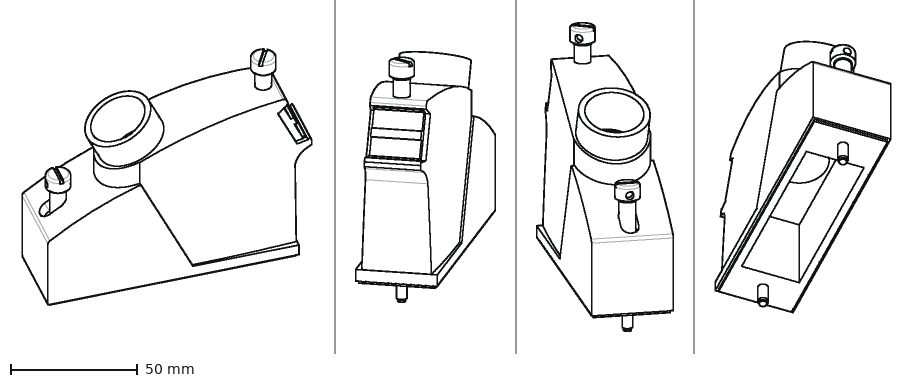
import cadquery as cq
import math

TILT = 25.3
COS_TILT = math.cos(math.radians(TILT))
SIN_TILT = math.sin(math.radians(TILT))
TAN_TILT = math.tan(math.radians(TILT))
TALL = 222.0

BASE_WIDTH = 33.0
BASE_LENGTH = 104.0
BASE_THICKNESS = 4.8
FRONT_HEIGHT = 31.1
FRONT_ROUNDING = 1.8
SHOULDER_FOOT_Y = 60.0
SHOULDER_TOP_Z = 50.5
SHOULDER_TOP_Y = SHOULDER_FOOT_Y - (SHOULDER_TOP_Z - BASE_THICKNESS) * TAN_TILT
SHOULDER_ROUNDING = 1.1
FRONT_CREST = (20.6, 43.3)
GASKET_INSET = 1.0
GASKET_DEPTH = 1.1

HOOD_WIDTH = 31.1
HOOD_BACK_Y = 103.7
HOOD_FRONT_Y = 38.3
HOOD_TOP = (99.0, 74.8)
HOOD_CREST = (70.8, 71.8)
NECK_FRONT = (25.1, 54.0)
NECK_RADIUS = HOOD_WIDTH / 2
NECK_Y = NECK_FRONT[0] + NECK_RADIUS
TAPER_START = 56.6
TAPER_END = 127.6
TAPER_RADIUS = 521.7

GRIP_ARC_START = (HOOD_BACK_Y, 42.1)
GRIP_ARC_MIDDLE = (105.0, 45.3)
GRIP_ARC_END = (107.5, 47.8)
NOSE_BOTTOM = (111.0, 49.6)
NOSE_TOP = (111.0, 51.6)
NOSE_CREST = (110.2, 53.2)
NOSE_STEP = (109.3, 52.4)
LIP_TIP = (101.2, 71.9)
LIP_BACK = (100.9, 73.1)
LIP_ROUND = (100.2, 74.3)
GRIP_TOP = (96.7, 68.6)
GRIP_LENGTH = 18.6
GRIP_BOTTOM = (GRIP_TOP[0] + GRIP_LENGTH * SIN_TILT, GRIP_TOP[1] - GRIP_LENGTH * COS_TILT)
PAD_WIDTH = 20.2
PAD_THICKNESS = 3.1
PAD_OVERLAP = 0.8
RIB_HEIGHT = 1.2
MIDDLE_RIB = (7.5, 11.1)

ENTRY_TOP = (0, 34.3, 72.3)
ENTRY_RADIUS = 14.2
ENTRY_LENGTH = 24.4
BORE_RADIUS = 11.7
BORE_DEPTH = 19.8
INNER_BORE_RADIUS = 10.8
INNER_BORE_DEPTH = 52.2

CAVITY_FRONT_Y = 17.8
CAVITY_BACK_Y = 86.6
CAVITY_WIDTH = 24.4
CAVITY_HEIGHT = 31.1

FRONT_SCREW_Y = 9.5
BACK_SCREW_Y = 94.6
FRONT_SCREW_TOP = 51.0
BACK_SCREW_TOP = 89.2
BACK_SCREW_TURN = -30.0
SCREW_END = -10.0
HEAD_RADIUS = 5.0
HEAD_HEIGHT = 6.0
HEAD_ROUNDING = 1.0
HEAD_CONE = 0.7
COLLAR_RADIUS = 3.7
COLLAR_HEIGHT = 0.4
SHANK_RADIUS = 3.3
PIN_RADIUS = 2.1
TIP_RADIUS = 1.5
TIP_LENGTH = 0.8
PIN_CONE = 0.5
SLOT_WIDTH = 1.4
SLOT_DEPTH = 1.4
CROSS_HOLE_RADIUS = 1.5
CROSS_HOLE_DROP = 3.8
CROSS_HOLE_DEPTH = 2.8

RECESS_WIDTH = 7.2
RECESS_LENGTH = 12.2
RECESS_Y = 9.4
RECESS_FLOOR_Z = 31.2
RECESS_CUT = 16.6


def side_profile():
    """Sketch on the middle plane of the part, with Y across and Z up."""
    return cq.Workplane("YZ")


def tilted_plane(origin):
    """Plane square to the cable entry, its x direction climbing towards the back."""
    return cq.Plane(origin, xDir=(0, COS_TILT, SIN_TILT), normal=(0, -SIN_TILT, COS_TILT))


def make_base():
    """Base plate with the wide front block on it and the gasket step below it."""
    block = (
        side_profile()
        .lineTo(BASE_LENGTH, 0)
        .lineTo(BASE_LENGTH, BASE_THICKNESS)
        .lineTo(SHOULDER_FOOT_Y, BASE_THICKNESS)
        .lineTo(SHOULDER_TOP_Y, SHOULDER_TOP_Z)
        .threePointArc(FRONT_CREST, (0, FRONT_HEIGHT))
        .close()
        .extrude(BASE_WIDTH / 2, both=True)
    )
    block = block.edges(cq.NearestToPointSelector((0, 0, FRONT_HEIGHT))).fillet(FRONT_ROUNDING)
    shoulder_edge = cq.NearestToPointSelector((0, SHOULDER_TOP_Y, SHOULDER_TOP_Z))
    block = block.edges(shoulder_edge).fillet(SHOULDER_ROUNDING)
    gasket = cq.Workplane("XY").box(
        BASE_WIDTH - 2 * GASKET_INSET,
        BASE_LENGTH - 2 * GASKET_INSET,
        GASKET_DEPTH,
        centered=(True, False, False),
    ).translate((0, GASKET_INSET, -GASKET_DEPTH))
    return block.union(gasket)


def make_hood():
    """Arched hood with a grip at the back, its sides curving inwards towards the grip."""
    arched = (
        side_profile()
        .lineTo(HOOD_BACK_Y, 0)
        .lineTo(*GRIP_ARC_START)
        .threePointArc(GRIP_ARC_MIDDLE, GRIP_ARC_END)
        .lineTo(*NOSE_BOTTOM)
        .lineTo(*NOSE_TOP)
        .lineTo(*NOSE_CREST)
        .lineTo(*NOSE_STEP)
        .lineTo(*GRIP_BOTTOM)
        .lineTo(*GRIP_TOP)
        .lineTo(*LIP_TIP)
        .lineTo(*LIP_BACK)
        .threePointArc(LIP_ROUND, HOOD_TOP)
        .threePointArc(HOOD_CREST, NECK_FRONT)
        .lineTo(NECK_FRONT[0], 0)
        .close()
        .extrude(HOOD_WIDTH / 2, both=True)
    )
    plan_length = TALL - HOOD_FRONT_Y
    plan = cq.Workplane("XY").box(HOOD_WIDTH, plan_length, TALL, centered=(True, False, False))
    plan = plan.translate((0, HOOD_FRONT_Y, 0))
    neck = cq.Workplane("XY").center(0, NECK_Y).circle(NECK_RADIUS).extrude(TALL)
    return arched.intersect(plan.union(neck)).intersect(make_side_taper())


def make_side_taper():
    """Prism along the cable entry whose two long sides bend inwards behind TAPER_START."""
    half_width = HOOD_WIDTH / 2

    def half_width_at(distance):
        run = distance - TAPER_START
        return half_width - TAPER_RADIUS + math.sqrt(TAPER_RADIUS**2 - run**2)

    middle = (TAPER_START + TAPER_END) / 2
    return (
        cq.Workplane(tilted_plane((0, 0, 0)))
        .moveTo(0, -half_width)
        .lineTo(TAPER_START, -half_width)
        .threePointArc((middle, -half_width_at(middle)), (TAPER_END, -half_width_at(TAPER_END)))
        .lineTo(TAPER_END, half_width_at(TAPER_END))
        .threePointArc((middle, half_width_at(middle)), (TAPER_START, half_width))
        .lineTo(0, half_width)
        .close()
        .extrude(TALL, both=True)
    )


def make_grip_pad():
    """Pad on the floor of the grip recess, with a rib at each end and one in the middle."""
    floor = cq.Plane((0, *GRIP_TOP), xDir=(0, SIN_TILT, -COS_TILT), normal=(0, COS_TILT, SIN_TILT))

    def strip(start, end, height):
        slab = cq.Workplane(floor).center((start + end) / 2, 0)
        return slab.rect(end - start, PAD_WIDTH).extrude(height)

    pad_end = GRIP_LENGTH + PAD_OVERLAP
    pad = strip(-PAD_OVERLAP, pad_end, PAD_THICKNESS)
    for start, end in [(-PAD_OVERLAP, 0), MIDDLE_RIB, (GRIP_LENGTH, pad_end)]:
        pad = pad.union(strip(start, end, PAD_THICKNESS + RIB_HEIGHT))
    return pad


def make_entry(radius, length):
    """Cylinder running down the cable entry from its mouth."""
    return cq.Workplane(tilted_plane(ENTRY_TOP)).circle(radius).extrude(-length)


def make_cavity():
    """Rectangular pocket rising from the underside."""
    return cq.Workplane("XY").box(
        CAVITY_WIDTH,
        CAVITY_BACK_Y - CAVITY_FRONT_Y,
        CAVITY_HEIGHT + GASKET_DEPTH,
        centered=(True, False, False),
    ).translate((0, CAVITY_FRONT_Y, -GASKET_DEPTH))


def make_screw_recess():
    """Flat-floored slot around the front screw, sunk square to the tilt of the cable entry."""
    return (
        cq.Workplane(tilted_plane((0, RECESS_Y, RECESS_FLOOR_Z)))
        .slot2D(RECESS_LENGTH, RECESS_WIDTH)
        .extrude(RECESS_CUT)
    )


def make_screw(y, top, turn):
    """Slotted screw with a cross hole in its head; turn rotates it about its own axis."""
    head_bottom = top - HEAD_HEIGHT
    collar_top = head_bottom - HEAD_CONE
    tip_top = SCREW_END + TIP_LENGTH
    screw = (
        cq.Workplane("XZ")
        .moveTo(0, SCREW_END)
        .lineTo(TIP_RADIUS, SCREW_END)
        .lineTo(TIP_RADIUS, tip_top)
        .lineTo(PIN_RADIUS, tip_top + PIN_CONE)
        .lineTo(PIN_RADIUS, 0)
        .lineTo(SHANK_RADIUS, 0)
        .lineTo(SHANK_RADIUS, collar_top - COLLAR_HEIGHT)
        .lineTo(COLLAR_RADIUS, collar_top - COLLAR_HEIGHT)
        .lineTo(COLLAR_RADIUS, collar_top)
        .lineTo(HEAD_RADIUS, head_bottom)
        .lineTo(HEAD_RADIUS, top)
        .lineTo(0, top)
        .close()
        .revolve(360, (0, 0, 0), (0, 1, 0))
    )
    screw = screw.faces(">Z").edges().fillet(HEAD_ROUNDING)
    slot = cq.Workplane("XY").box(2 * HEAD_RADIUS, SLOT_WIDTH, 2 * SLOT_DEPTH).translate((0, 0, top))
    cross_hole = (
        cq.Workplane("XZ", origin=(0, CROSS_HOLE_DEPTH - HEAD_RADIUS, top - CROSS_HOLE_DROP))
        .circle(CROSS_HOLE_RADIUS)
        .extrude(HEAD_RADIUS)
    )
    screw = screw.cut(slot).cut(cross_hole)
    return screw.rotate((0, 0, 0), (0, 0, 1), turn).translate((0, y, 0))


hood = make_base().union(make_hood()).union(make_grip_pad())
hood = hood.union(make_entry(ENTRY_RADIUS, ENTRY_LENGTH))
hood = hood.cut(make_cavity())
hood = hood.cut(make_entry(BORE_RADIUS, BORE_DEPTH))
hood = hood.cut(make_entry(INNER_BORE_RADIUS, INNER_BORE_DEPTH))
hood = hood.cut(make_screw_recess())

front_screw = make_screw(FRONT_SCREW_Y, FRONT_SCREW_TOP, 0)
back_screw = make_screw(BACK_SCREW_Y, BACK_SCREW_TOP, BACK_SCREW_TURN)
result = hood.union(front_screw).union(back_screw)